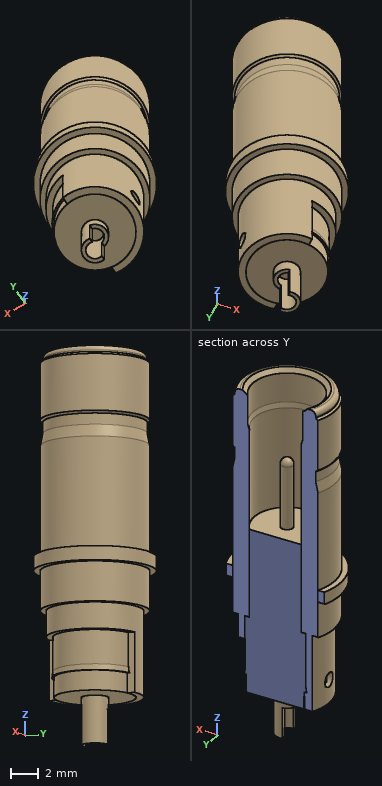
import cadquery as cq
import math

TOTAL_HEIGHT = 29.0
REAR_END = 3.55
CUTAWAY_TOP = 8.0
SLEEVE_TOP = 9.95
RING_BOTTOM = 12.9
RING_HEIGHT = 1.05
GROOVE_RAMP_BOTTOM = 22.18
GROOVE_BOTTOM = 23.08
GROOVE_TOP = 23.9
NOSE_BOTTOM = 28.45

BARREL_RADIUS = 4.0
NOSE_RADIUS = 3.83
SLEEVE_RADIUS = 3.57
RING_RADIUS = 4.5
EDGE_BEVEL = BARREL_RADIUS - NOSE_RADIUS
NOSE_ROUND = 0.4

MOUTH_RADIUS = 3.22
ENTRY_RADIUS = 2.87
BORE_RADIUS = 2.75
MOUTH_BEVEL = MOUTH_RADIUS - ENTRY_RADIUS
ENTRY_BOTTOM = 26.25
ENTRY_TAPER = 0.44
SOCKET_FLOOR = 17.4

CUTAWAY_X = 0.5
HOLE_RADIUS = 0.58
HOLE_HEIGHT = 5.5

INSULATOR_RADIUS = 3.07
BARB_RADIUS = 3.13
TAIL_RADIUS = 3.0
BARB_TOP = 5.48
BARB_BOTTOM = 5.02

PIN_RADIUS = 0.5
PIN_TIP = 23.2
CUP_RADIUS = 1.0
CUP_BORE_RADIUS = 0.67
CUP_NOTCH_TOP = 2.6
CUP_NOTCH_X = -0.17


def spin(profile):
    """Revolve a closed (radius, height) profile about the Z axis."""
    return profile.close().revolve(360, (0, 0, 0), (0, 1, 0))


def make_contact():
    """Round-ended pin in front, notched solder cup at the rear."""
    dome_base = PIN_TIP - PIN_RADIUS
    dome_mid = PIN_RADIUS * math.sqrt(0.5)
    contact = spin(
        cq.Workplane("XZ")
        .moveTo(0, 0)
        .lineTo(CUP_RADIUS, 0)
        .lineTo(CUP_RADIUS, SLEEVE_TOP)
        .lineTo(PIN_RADIUS, SLEEVE_TOP)
        .lineTo(PIN_RADIUS, dome_base)
        .threePointArc((dome_mid, dome_base + dome_mid), (0, PIN_TIP))
    )
    cup_bore = cq.Workplane("XY").circle(CUP_BORE_RADIUS).extrude(REAR_END)
    notch = cq.Workplane("XY").box(
        CUP_RADIUS, 2 * CUP_RADIUS, CUP_NOTCH_TOP, centered=(False, True, False)
    ).translate((CUP_NOTCH_X - CUP_RADIUS, 0, 0))
    return contact.cut(cup_bore).cut(notch)


def make_insulator_blank():
    """Barbed rear plug with a slimmer front that forms the socket floor."""
    return spin(
        cq.Workplane("XZ")
        .moveTo(0, REAR_END)
        .lineTo(TAIL_RADIUS, REAR_END)
        .lineTo(TAIL_RADIUS, BARB_BOTTOM)
        .lineTo(BARB_RADIUS, BARB_BOTTOM)
        .lineTo(INSULATOR_RADIUS, BARB_TOP)
        .lineTo(INSULATOR_RADIUS, SLEEVE_TOP)
        .lineTo(BORE_RADIUS, SLEEVE_TOP)
        .lineTo(BORE_RADIUS, SOCKET_FLOOR)
        .lineTo(0, SOCKET_FLOOR)
    )


def make_housing_blank():
    """Stepped barrel with latch groove, rounded nose and socket bore."""
    round_start = TOTAL_HEIGHT - NOSE_ROUND
    round_center_radius = NOSE_RADIUS - NOSE_ROUND
    round_mid = NOSE_ROUND * math.sqrt(0.5)
    return spin(
        cq.Workplane("XZ")
        .moveTo(BORE_RADIUS, REAR_END)
        .lineTo(SLEEVE_RADIUS, REAR_END)
        .lineTo(SLEEVE_RADIUS, SLEEVE_TOP)
        .lineTo(BARREL_RADIUS, SLEEVE_TOP)
        .lineTo(BARREL_RADIUS, GROOVE_RAMP_BOTTOM)
        .lineTo(NOSE_RADIUS, GROOVE_BOTTOM)
        .lineTo(NOSE_RADIUS, GROOVE_TOP)
        .lineTo(BARREL_RADIUS, GROOVE_TOP + EDGE_BEVEL)
        .lineTo(BARREL_RADIUS, NOSE_BOTTOM - EDGE_BEVEL)
        .lineTo(NOSE_RADIUS, NOSE_BOTTOM)
        .lineTo(NOSE_RADIUS, round_start)
        .threePointArc(
            (round_center_radius + round_mid, round_start + round_mid),
            (round_center_radius, TOTAL_HEIGHT),
        )
        .lineTo(MOUTH_RADIUS, TOTAL_HEIGHT)
        .lineTo(ENTRY_RADIUS, TOTAL_HEIGHT - MOUTH_BEVEL)
        .lineTo(ENTRY_RADIUS, ENTRY_BOTTOM)
        .lineTo(BORE_RADIUS, ENTRY_BOTTOM - ENTRY_TAPER)
    )


def make_sleeve_cutaway():
    """Block that removes the +X side of the rear sleeve."""
    return cq.Workplane("XY").box(
        SLEEVE_RADIUS, 2 * SLEEVE_RADIUS, CUTAWAY_TOP - REAR_END, centered=(False, True, False)
    ).translate((CUTAWAY_X, 0, REAR_END))


def make_sleeve_hole():
    """Radial hole through the -X wall of the rear sleeve."""
    return (
        cq.Workplane("YZ")
        .center(0, HOLE_HEIGHT)
        .circle(HOLE_RADIUS)
        .extrude(-SLEEVE_RADIUS)
    )


def make_ring():
    """Plain collar around the barrel."""
    return (
        cq.Workplane("XY")
        .workplane(offset=RING_BOTTOM)
        .circle(RING_RADIUS)
        .circle(BARREL_RADIUS)
        .extrude(RING_HEIGHT)
    )


contact = make_contact()

insulator_blank = make_insulator_blank()
insulator = insulator_blank.cut(contact)

housing = (
    make_housing_blank()
    .cut(insulator_blank)
    .cut(make_sleeve_cutaway())
    .cut(make_sleeve_hole())
)

ring = make_ring()

bodies = [housing, insulator, contact, ring]
result = cq.Compound.makeCompound([body.solids().val() for body in bodies])